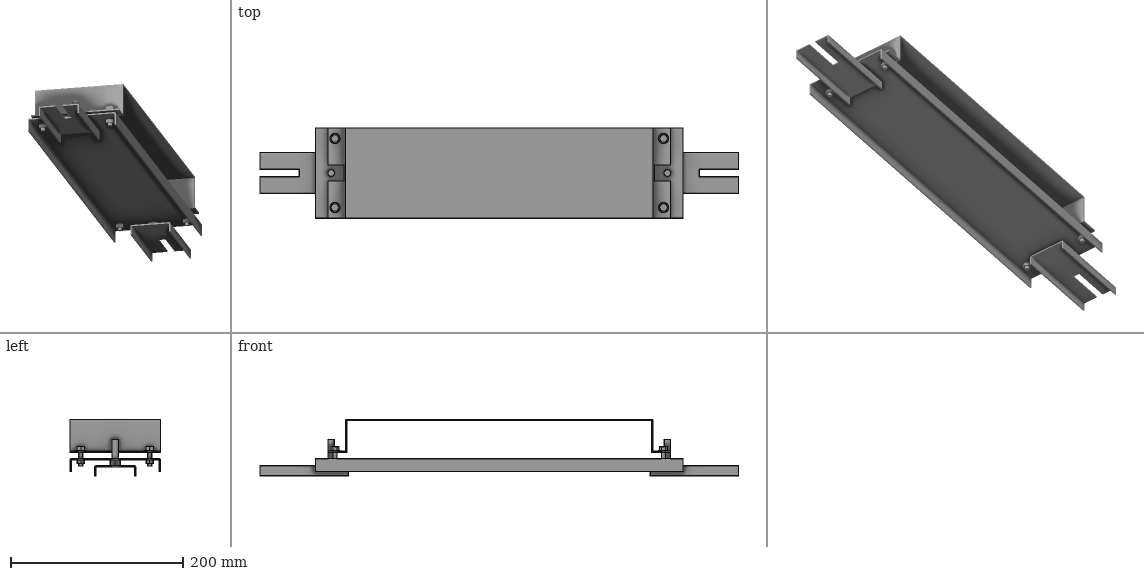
import cadquery as cq
import math

total_length = 556.0
total_height = 65.5
width = 105.0
sheet = 1.5
bend_radius = 1.85
clamp_gap = 7.0
inner_bend_radius = bend_radius - sheet

rail_length = 103.0
rail_width = 48.0
rail_height = 11.5
slot_length = 45.5
slot_width = 8.5

base_length = 427.0
base_height = 15.0
collar_height = 6.5
base_underside = rail_height + collar_height
base_top = base_underside + sheet

cover_length = 357.0
foot_span = 398.0
cover_bottom = base_top + clamp_gap
foot_top = cover_bottom + sheet
notch_width = 19.0
notch_span = 361.0

bolt_x = 190.5
bolt_y = 40.0
bolt_diameter = 5.0
bolt_hex = 8.5
washer_diameter = 11.5
washer_height = 0.85
head_height = 4.5
nut_height = 4.0
bolt_end = 11.0

stud_x = 195.0
stud_diameter = 8.0
stud_top = 42.0
collar_hex = 11.5

sides = (-1, 1)
bolt_points = [(sx * bolt_x, sy * bolt_y) for sx in sides for sy in sides]
stud_points = [(sx * stud_x, 0) for sx in sides]


def hexagon(across_flats, bottom, height):
    """Upright hexagonal prism with two flats facing +Y and -Y."""
    across_corners = across_flats / math.cos(math.radians(30))
    return cq.Workplane("XY", origin=(0, 0, bottom)).polygon(6, across_corners).extrude(height)


def cylinder(diameter, bottom, top):
    """Upright cylinder on the Z axis."""
    return cq.Workplane("XY", origin=(0, 0, bottom)).circle(diameter / 2).extrude(top - bottom)


def channel(length, channel_width, height, top):
    """Sheet channel along X with its flanges down and both bends rounded."""
    middle = top - height / 2
    outer = cq.Workplane("XY").box(length, channel_width, height).translate((0, 0, middle))
    outer = outer.edges("|X and >Z").fillet(bend_radius)
    inner = cq.Workplane("XY").box(length, channel_width - 2 * sheet, height)
    inner = inner.translate((0, 0, middle - sheet))
    inner = inner.edges("|X and >Z").fillet(inner_bend_radius)
    return outer.cut(inner)


def make_cover():
    """Raised strip: top, two end walls and two notched feet."""
    outer_x = cover_length / 2
    inner_x = outer_x - sheet
    foot_x = foot_span / 2
    right_half = [
        (inner_x, total_height - sheet),
        (inner_x, cover_bottom),
        (foot_x, cover_bottom),
        (foot_x, foot_top),
        (outer_x, foot_top),
        (outer_x, total_height),
    ]
    left_half = [(-x, z) for x, z in reversed(right_half)]
    strip = cq.Workplane("XZ").polyline(right_half + left_half).close().extrude(width / 2, both=True)
    strip = strip.edges("|Y and >Z").fillet(bend_radius)

    notch_depth = (foot_span - notch_span) / 2
    notches = (
        cq.Workplane("XY", origin=(0, 0, cover_bottom))
        .pushPoints([(sx * (foot_span - notch_depth) / 2, 0) for sx in sides])
        .rect(notch_depth, notch_width)
        .extrude(sheet)
    )
    bolt_holes = (
        cq.Workplane("XY", origin=(0, 0, cover_bottom))
        .pushPoints(bolt_points)
        .circle(bolt_diameter / 2)
        .extrude(sheet)
    )
    return strip.cut(notches).cut(bolt_holes)


def make_base():
    """Channel with holes for the bolts and the studs."""
    holes = cq.Workplane("XY", origin=(0, 0, base_underside))
    bolt_holes = holes.pushPoints(bolt_points).circle(bolt_diameter / 2).extrude(sheet)
    stud_holes = holes.pushPoints(stud_points).circle(stud_diameter / 2).extrude(sheet)
    return channel(base_length, width, base_height, base_top).cut(bolt_holes).cut(stud_holes)


def make_rail(side):
    """Channel at one end (side is -1 or 1) with a slot open to the outside."""
    rail = channel(rail_length, rail_width, rail_height, rail_height)
    slot_x = side * (rail_length - slot_length) / 2
    slot = cq.Workplane("XY").box(slot_length, slot_width, 2 * rail_height)
    slot = slot.translate((slot_x, 0, rail_height))
    return rail.cut(slot).translate((side * (total_length - rail_length) / 2, 0, 0))


def make_bolt(point):
    """Bolt with head, washer and nut as one solid."""
    washer_top = foot_top + washer_height
    bolt = (
        cylinder(bolt_diameter, bolt_end, washer_top)
        .union(cylinder(washer_diameter, foot_top, washer_top))
        .union(hexagon(bolt_hex, washer_top, head_height))
        .union(hexagon(bolt_hex, base_underside - nut_height, nut_height))
    )
    return bolt.translate((*point, 0))


def make_stud(point):
    """Round stud with a hexagonal collar between rail and base."""
    stud = cylinder(stud_diameter, rail_height, stud_top)
    return stud.union(hexagon(collar_hex, rail_height, collar_height)).translate((*point, 0))


cover = make_cover()
base = make_base()
rails = [make_rail(side) for side in sides]
bolts = [make_bolt(point) for point in bolt_points]
studs = [make_stud(point) for point in stud_points]

result = cq.Compound.makeCompound([body.val() for body in [cover, base, *rails, *bolts, *studs]])